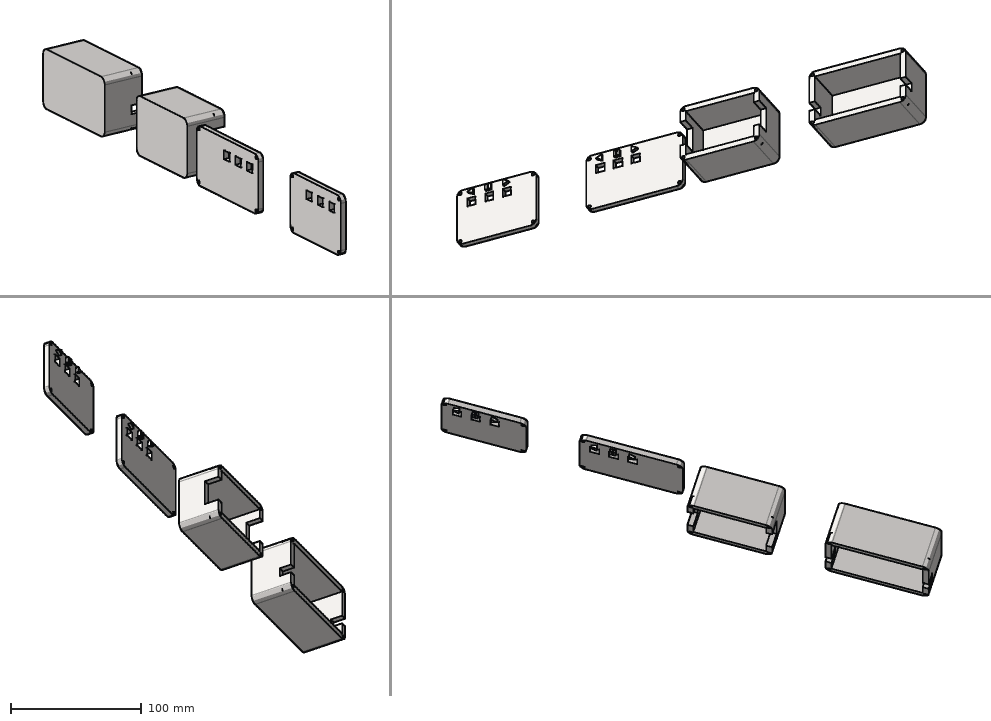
import cadquery as cq

height = 49.0
corner_radius = 5.0
wide_length = 82.5
narrow_length = 68.0

narrow_shift = 125.5
lid_shift = 206.0

case_depth = 35.0
wall = 4.8

notch_bottom = 14.5
wide_notch_height = 7.0
wide_notch_depth = 10.0
narrow_notch_height = 21.5
narrow_notch_depth = 12.0

screw_diameter = 2.5
screw_inset = 2.8
screw_depth = 8.8

lid_thickness = 4.8
window_count = 3
window_pitch = 15.0
window_height = 7.0
wide_window_width = 7.5
wide_first_window = 40.5
wide_window_margin = 10.0
narrow_window_width = 6.8
narrow_first_window = 25.0
narrow_window_margin = 8.8

symbol_size = 4.8
symbol_relief = 2.5
symbol_gap = 2.0
bar_width = 2.0


def block(x, y, z, length, depth, block_height):
    """Box with its lowest corner at (x, y, z)."""
    return cq.Workplane("XY", origin=(x, y, z)).box(length, depth, block_height, centered=False)


def rounded_plate(left, length, depth):
    return block(left, 0, 0, length, depth, height).edges("|Y").fillet(corner_radius)


def screw_holes(left, length, start, depth):
    """Four corner cylinders running from Y = start toward +Y."""
    return (
        cq.Workplane("XZ", origin=(left + length / 2, start, height / 2))
        .rect(length - 2 * screw_inset, height - 2 * screw_inset, forConstruction=True)
        .vertices()
        .circle(screw_diameter / 2)
        .extrude(-depth)
    )


def make_case(left, length, notch_height, notch_depth):
    cavity = block(left + wall, wall, wall, length - 2 * wall, case_depth - wall, height - 2 * wall)
    notch = block(left, case_depth - notch_depth, notch_bottom, length, notch_depth, notch_height)
    holes = screw_holes(left, length, case_depth - screw_depth, screw_depth)
    return rounded_plate(left, length, case_depth).cut(cavity).cut(notch).cut(holes)


def symbol_plane(center_x, center_z):
    return cq.Workplane("XZ", origin=(center_x, lid_thickness, center_z))


def triangle(center_x, center_z, direction):
    """Triangle pointing along X: direction is -1 for -X, 1 for +X."""
    tip = direction * symbol_size / 2
    return (
        symbol_plane(center_x, center_z)
        .polyline([(tip, 0), (-tip, symbol_size / 2), (-tip, -symbol_size / 2)])
        .close()
        .extrude(-symbol_relief)
    )


def pause_bars(center_x, center_z):
    offset = (symbol_size - bar_width) / 2
    return (
        symbol_plane(center_x, center_z)
        .pushPoints([(-offset, 0), (offset, 0)])
        .rect(bar_width, symbol_size)
        .extrude(-symbol_relief)
    )


def make_lid(left, length, first_window, window_width, top_margin):
    lid = rounded_plate(left, length, lid_thickness).cut(screw_holes(left, length, 0, lid_thickness))
    centers = [left + first_window + i * window_pitch for i in range(window_count)]
    window_top = height - top_margin
    window_bottom = window_top - window_height

    for center in centers:
        window_left = center - window_width / 2
        lid = lid.cut(block(window_left, 0, window_bottom, window_width, lid_thickness, window_height))

    symbol_z = window_top + symbol_gap + symbol_size / 2
    lid = lid.union(triangle(centers[0], symbol_z, -1))
    lid = lid.union(pause_bars(centers[1], symbol_z))
    return lid.union(triangle(centers[2], symbol_z, 1))


wide_case = make_case(0, wide_length, wide_notch_height, wide_notch_depth)
narrow_case = make_case(narrow_shift, narrow_length, narrow_notch_height, narrow_notch_depth)
wide_lid = make_lid(lid_shift, wide_length, wide_first_window, wide_window_width, wide_window_margin)
narrow_lid = make_lid(
    lid_shift + narrow_shift, narrow_length, narrow_first_window, narrow_window_width, narrow_window_margin
)

result = cq.Compound.makeCompound(
    [wide_case.val(), narrow_case.val(), wide_lid.val(), narrow_lid.val()]
)